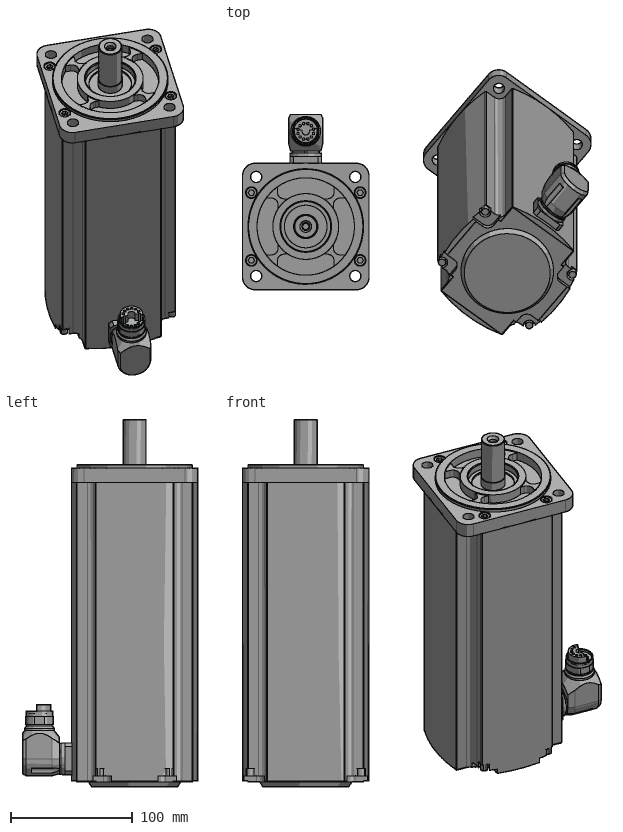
import cadquery as cq
import math

BODY_WIDTH = 104.0
BULGE_RISE = 4.2
FACE_HALF = 31.5
EDGE_BEVEL = 0.7
GROOVE_FILLET = 6.6

FLANGE_WIDTH = 104.0
FLANGE_THICKNESS = 12.0
FLANGE_CORNER = 10.5
MOUNT_CIRCLE = 115.0
MOUNT_HOLE = 9.0

SHAFT_LENGTH = 40.0
PART_HEIGHT = 301.7
SHAFT_DIAMETER = 19.0
SHOULDER_DIAMETER = 20.0
SHAFT_CHAMFER = 0.5

PILOT_DIAMETER = 95.0
PILOT_HEIGHT = 3.0
PILOT_CHAMFER = 0.6
RING_OUTER = 80.0
RING_INNER = 54.0
POCKET_DEPTH = 8.0
RIB_RECESS = 1.0
POCKET_HALF_LENGTH = 23.3
POCKET_INNER_EDGE = 22.7
POCKET_CORNER = 5.5
SEAL_BORE = 41.0
SEAL_LIP_BORE = 35.0
SEAL_DEPTH = 6.0
SEAL_LIP_DEPTH = 1.5
BORE_CHAMFER = 0.7

CENTRE_CONE = 9.5
CENTRE_COUNTERBORE = 6.4
CENTRE_DRILL = 5.1
CENTRE_CONE_DEPTH = 2.5
CENTRE_COUNTERBORE_DEPTH = 5.0
CENTRE_DRILL_DEPTH = 20.0

SCREW_X = 44.6
SCREW_Y = 27.8
SCREW_RECESS = 9.5
SCREW_RECESS_DEPTH = 5.6
SCREW_HEAD = 8.5
SCREW_HEAD_HEIGHT = 5.0
SCREW_SOCKET = 5.2
SCREW_SOCKET_DEPTH = 3.0

END_CONE_HEIGHT = 4.2
END_CONE_TOP = 76.0
END_CONE_BOTTOM = 70.5
END_LIP_HEIGHT = 0.7
END_LIP_SETBACK = 4.5

BOLT_POCKET_X = 34.0
BOLT_POCKET_Y = 19.0
BOLT_POCKET_CORNER = 6.5
BOLT_POCKET_HEIGHT = 4.2
BOLT_X = 45.6
BOLT_Y = 28.8
BOLT_DIAMETER = 6.0
BOLT_RECESS = 9.5
BOLT_RECESS_HEIGHT = 6.0

CONNECTOR_AXIS_Y = 78.1
CONNECTOR_AXIS_Z = -238.6
CONNECTOR_REACH = 92.0
ELBOW_INNER_Y = 61.8
ELBOW_WIDTH = 28.0
ELBOW_TOP = -215.4
OUTER_BEVEL = 3.0
INNER_BEVEL = 6.0
BEVEL_INSET = 1.5
ELBOW_CONE_TOP = 12.2
ELBOW_CONE_SLOPE = 1.25
ELBOW_RING_HEIGHT = 3.6
ELBOW_RING_LEDGE = 0.5
CAP_NECK = 21.0
NUT_RING_BOTTOM = -210.3
NUT_RING_TOP = -203.8
NUT_RING_DIAMETER = 22.9
NUT_RING_FLAT_WIDTH = 8.4
CAP_DIAMETER = 21.95
CAP_TOP = -199.5
CAP_BORE = 20.0
CAP_BORE_DEPTH = 2.0
INSERT_DIAMETER = 18.6
INSERT_TOP = -194.2
INSERT_NOTCH_ANGLE = 15.0
INSERT_CENTRE_HOLE = 6.0
CONTACT_HOLE = 1.99
CONTACT_COUNT = 12
CONTACT_RADIUS = 6.6
CONTACT_DEPTH = 2.0

BASE_WIDTH = 26.2
BASE_INNER_Y = 57.3
BASE_OUTER_Y = 60.3
BASE_CORNER = 3.0
COLLAR_FLATS = 22.9
COLLAR_DIAMETER = 25.4
GRIP_RADIUS = 3.0
GRIP_CENTRE_X = 10.9
GRIP_CENTRE_Z = -249.3
GRIP_OUTER_Y = 84.5

HALF_BODY = BODY_WIDTH / 2
FACE_EDGE = HALF_BODY - BULGE_RISE
GROOVE_WALL = FACE_HALF + EDGE_BEVEL
BOTTOM = SHAFT_LENGTH - PART_HEIGHT
BODY_BOTTOM = BOTTOM + END_CONE_HEIGHT + END_LIP_HEIGHT
BOLT_POCKET_ROOF = BODY_BOTTOM + BOLT_POCKET_HEIGHT
POCKET_FLOOR = PILOT_HEIGHT - POCKET_DEPTH
SEAL_FLOOR = PILOT_HEIGHT - SEAL_DEPTH
CORNER_SIGNS = [(sx, sy) for sx in (1, -1) for sy in (1, -1)]


def disc(diameter, bottom, top, x=0.0, y=0.0):
    """Upright cylinder between two heights."""
    return cq.Workplane("XY", origin=(x, y, bottom)).circle(diameter / 2).extrude(top - bottom)


def mirrored_corners(shape):
    """The shape repeated in the four quadrants about the shaft axis."""
    across = shape.union(shape.mirror("YZ"))
    return across.union(across.mirror("XZ"))


def corner_points(x, y):
    return [(sx * x, sy * y) for sx, sy in CORNER_SIGNS]


def make_housing():
    height = -FLANGE_THICKNESS - BODY_BOTTOM
    side = (
        cq.Workplane("XY", origin=(0, 0, BODY_BOTTOM))
        .moveTo(0, 0)
        .lineTo(-GROOVE_WALL, 0)
        .lineTo(-GROOVE_WALL, FACE_EDGE - EDGE_BEVEL)
        .lineTo(-FACE_HALF, FACE_EDGE)
        .threePointArc((0, HALF_BODY), (FACE_HALF, FACE_EDGE))
        .lineTo(GROOVE_WALL, FACE_EDGE - EDGE_BEVEL)
        .lineTo(GROOVE_WALL, 0)
        .close()
        .extrude(height)
    )
    housing = side
    for turn in (90, 180, 270):
        housing = housing.union(side.rotate((0, 0, 0), (0, 0, 1), turn))
    corner = GROOVE_WALL + GROOVE_FILLET
    middle = corner - GROOVE_FILLET * math.sqrt(0.5)
    fillet = (
        cq.Workplane("XY", origin=(0, 0, BODY_BOTTOM))
        .moveTo(GROOVE_WALL, GROOVE_WALL)
        .lineTo(corner, GROOVE_WALL)
        .threePointArc((middle, middle), (GROOVE_WALL, corner))
        .close()
        .extrude(height)
    )
    return housing.union(mirrored_corners(fillet))


def make_end_cap():
    lip_width = BODY_WIDTH - 2 * END_LIP_SETBACK
    lip = (
        cq.Workplane("XY", origin=(0, 0, BODY_BOTTOM - END_LIP_HEIGHT))
        .rect(lip_width, 2 * FACE_HALF)
        .extrude(END_LIP_HEIGHT)
    )
    lip = lip.union(lip.rotate((0, 0, 0), (0, 0, 1), 90))
    cone = (
        cq.Workplane("XY", origin=(0, 0, BOTTOM))
        .circle(END_CONE_BOTTOM / 2)
        .workplane(offset=END_CONE_HEIGHT)
        .circle(END_CONE_TOP / 2)
        .loft()
    )
    return lip.union(cone)


def make_bolt_pockets():
    """Open pocket at each bottom corner, with a bolt recess above it that breaks the groove walls."""
    height = BOLT_POCKET_ROOF - BODY_BOTTOM + END_LIP_HEIGHT
    pocket = (
        cq.Workplane("XY", origin=(BOLT_POCKET_X, BOLT_POCKET_Y, BOLT_POCKET_ROOF - height))
        .rect(HALF_BODY, HALF_BODY, centered=False)
        .extrude(height)
        .edges("|Z and <X and <Y")
        .fillet(BOLT_POCKET_CORNER)
    )
    recess_top = BOLT_POCKET_ROOF + BOLT_RECESS_HEIGHT
    recess = disc(BOLT_RECESS, BOLT_POCKET_ROOF, recess_top, BOLT_X, BOLT_Y)
    recess = recess.cut(disc(BOLT_DIAMETER, BOLT_POCKET_ROOF, recess_top, BOLT_X, BOLT_Y))
    return mirrored_corners(pocket.union(recess))


def make_flange():
    flange = (
        cq.Workplane("XY", origin=(0, 0, -FLANGE_THICKNESS))
        .rect(FLANGE_WIDTH, FLANGE_WIDTH)
        .extrude(FLANGE_THICKNESS)
        .edges("|Z")
        .fillet(FLANGE_CORNER)
    )
    pilot = disc(PILOT_DIAMETER, 0, PILOT_HEIGHT).faces(">Z").edges().chamfer(PILOT_CHAMFER)
    return flange.union(pilot)


def make_kidney_pockets():
    """Four curved pockets between the pilot rim and the seal ring, parted by diagonal ribs."""
    ring = disc(RING_OUTER, POCKET_FLOOR, PILOT_HEIGHT).cut(
        disc(RING_INNER, POCKET_FLOOR, PILOT_HEIGHT)
    )
    window = (
        cq.Workplane("XY", origin=(0, POCKET_INNER_EDGE + POCKET_HALF_LENGTH, POCKET_FLOOR))
        .rect(2 * POCKET_HALF_LENGTH, 2 * POCKET_HALF_LENGTH)
        .extrude(POCKET_DEPTH)
        .edges("|Z")
        .fillet(POCKET_CORNER)
    )
    pocket = ring.intersect(window)
    rib_tops = disc(RING_OUTER, PILOT_HEIGHT - RIB_RECESS, PILOT_HEIGHT).cut(
        disc(RING_INNER, PILOT_HEIGHT - RIB_RECESS, PILOT_HEIGHT)
    )
    pockets = pocket.union(rib_tops)
    for turn in (90, 180, 270):
        pockets = pockets.union(pocket.rotate((0, 0, 0), (0, 0, 1), turn))
    return pockets


def make_seal_bore():
    bore = disc(SEAL_BORE, SEAL_FLOOR, PILOT_HEIGHT)
    rim = (
        cq.Workplane("XY", origin=(0, 0, PILOT_HEIGHT - BORE_CHAMFER))
        .circle(SEAL_BORE / 2)
        .workplane(offset=BORE_CHAMFER)
        .circle(SEAL_BORE / 2 + BORE_CHAMFER)
        .loft()
    )
    lip = disc(SEAL_LIP_BORE, SEAL_FLOOR - SEAL_LIP_DEPTH, SEAL_FLOOR)
    return bore.union(rim).union(lip)


def cut_mounting_holes(part):
    offset = MOUNT_CIRCLE / 2 * math.sqrt(0.5)
    holes = (
        cq.Workplane("XY", origin=(0, 0, BOTTOM))
        .pushPoints(corner_points(offset, offset))
        .circle(MOUNT_HOLE / 2)
        .extrude(-BOTTOM)
    )
    return part.cut(holes)


def add_flange_screws(part):
    """Four socket-head screws sunk into the flange."""
    floor = -SCREW_RECESS_DEPTH
    head_top = floor + SCREW_HEAD_HEIGHT
    for x, y in corner_points(SCREW_X, SCREW_Y):
        socket = (
            cq.Workplane("XY", origin=(x, y, head_top - SCREW_SOCKET_DEPTH))
            .polygon(6, SCREW_SOCKET)
            .extrude(SCREW_SOCKET_DEPTH)
        )
        head = disc(SCREW_HEAD, floor, head_top, x, y).cut(socket)
        part = part.cut(disc(SCREW_RECESS, floor, 0, x, y)).union(head)
    return part


def make_shaft():
    root = SEAL_FLOOR - SEAL_LIP_DEPTH
    shaft = disc(SHAFT_DIAMETER, root, SHAFT_LENGTH).faces(">Z").edges().chamfer(SHAFT_CHAMFER)
    shoulder = disc(SHOULDER_DIAMETER, root, PILOT_HEIGHT)
    cone_bottom = SHAFT_LENGTH - CENTRE_CONE_DEPTH
    centre = (
        cq.Workplane("XY", origin=(0, 0, cone_bottom))
        .circle(CENTRE_COUNTERBORE / 2)
        .workplane(offset=CENTRE_CONE_DEPTH)
        .circle(CENTRE_CONE / 2)
        .loft()
    )
    centre = centre.union(
        disc(CENTRE_COUNTERBORE, SHAFT_LENGTH - CENTRE_COUNTERBORE_DEPTH, cone_bottom)
    )
    centre = centre.union(disc(CENTRE_DRILL, SHAFT_LENGTH - CENTRE_DRILL_DEPTH, cone_bottom))
    return shaft.union(shoulder).cut(centre)


def make_elbow():
    """U-shaped elbow body: bevelled block with a round underside and a conical shoulder."""
    radius = ELBOW_WIDTH / 2
    bottom = CONNECTOR_AXIS_Z - radius

    def arch(start_y, start_inset, end_y, end_inset):
        sections = cq.Workplane("XZ", origin=(0, start_y, 0))
        for inset, offset in ((start_inset, 0), (end_inset, start_y - end_y)):
            half = radius - inset
            sections = (
                sections.workplane(offset=offset)
                .moveTo(-half, ELBOW_TOP)
                .lineTo(-half, CONNECTOR_AXIS_Z)
                .threePointArc((0, CONNECTOR_AXIS_Z - half), (half, CONNECTOR_AXIS_Z))
                .lineTo(half, ELBOW_TOP)
                .close()
            )
        return sections.loft(ruled=True)

    outer_edge = CONNECTOR_REACH - OUTER_BEVEL
    inner_edge = ELBOW_INNER_Y + INNER_BEVEL
    block = arch(CONNECTOR_REACH, BEVEL_INSET, outer_edge, 0)
    block = block.union(arch(outer_edge, 0, inner_edge, 0))
    block = block.union(arch(inner_edge, 0, ELBOW_INNER_Y, BEVEL_INSET))
    skirt = 2 * radius
    cone_drop = (skirt - ELBOW_CONE_TOP) * ELBOW_CONE_SLOPE
    shoulder = (
        cq.Workplane("XZ", origin=(0, CONNECTOR_AXIS_Y, 0))
        .moveTo(0, ELBOW_TOP)
        .lineTo(ELBOW_CONE_TOP, ELBOW_TOP)
        .lineTo(skirt, ELBOW_TOP - cone_drop)
        .lineTo(skirt, bottom)
        .lineTo(0, bottom)
        .close()
        .revolve(360, (0, 0, 0), (0, 1, 0))
    )
    elbow = block.intersect(shoulder)
    grip_length = GRIP_OUTER_Y - ELBOW_INNER_Y
    grips = (
        cq.Workplane("XZ", origin=(0, GRIP_OUTER_Y, GRIP_CENTRE_Z))
        .pushPoints([(GRIP_CENTRE_X, 0), (-GRIP_CENTRE_X, 0)])
        .circle(GRIP_RADIUS)
        .extrude(grip_length)
    )
    return elbow.cut(grips)


def make_plug():
    """Round plug on top of the elbow: ring, nut with two flats, cap and notched contact insert."""
    axis = (0.0, CONNECTOR_AXIS_Y)
    ring_top = ELBOW_TOP + ELBOW_RING_HEIGHT
    ring = (
        disc(2 * ELBOW_CONE_TOP, ELBOW_TOP, ring_top, *axis)
        .faces(">Z")
        .edges()
        .chamfer(ELBOW_RING_HEIGHT / 2, ELBOW_CONE_TOP - CAP_NECK / 2 - ELBOW_RING_LEDGE)
    )
    neck = disc(CAP_NECK, ring_top, NUT_RING_BOTTOM, *axis)

    across_flats = math.sqrt(NUT_RING_DIAMETER ** 2 - NUT_RING_FLAT_WIDTH ** 2)
    flats = (
        cq.Workplane("XY", origin=(0, CONNECTOR_AXIS_Y, NUT_RING_BOTTOM))
        .rect(across_flats, NUT_RING_DIAMETER)
        .extrude(NUT_RING_TOP - NUT_RING_BOTTOM)
    )
    nut_ring = disc(NUT_RING_DIAMETER, NUT_RING_BOTTOM, NUT_RING_TOP, *axis).intersect(flats)

    bore_floor = CAP_TOP - CAP_BORE_DEPTH
    cap = disc(CAP_DIAMETER, NUT_RING_TOP, CAP_TOP, *axis)
    cap = cap.cut(disc(CAP_BORE, bore_floor, CAP_TOP, *axis))

    insert_height = INSERT_TOP - bore_floor
    notch_reach = INSERT_DIAMETER
    notch_rise = notch_reach * math.tan(math.radians(INSERT_NOTCH_ANGLE))
    notch = (
        cq.Workplane("XY", origin=(0, CONNECTOR_AXIS_Y, bore_floor))
        .moveTo(0, 0)
        .lineTo(notch_reach, notch_rise)
        .lineTo(notch_reach, notch_rise + notch_reach)
        .lineTo(-notch_reach, notch_rise + notch_reach)
        .lineTo(-notch_reach, notch_rise)
        .close()
        .extrude(insert_height)
    )
    centre_hole = disc(INSERT_CENTRE_HOLE, bore_floor, INSERT_TOP, *axis)
    insert = disc(INSERT_DIAMETER, bore_floor, INSERT_TOP, *axis).cut(notch).cut(centre_hole)
    plug = ring.union(neck).union(nut_ring).union(cap).union(insert)
    for index in range(CONTACT_COUNT):
        angle = 2 * math.pi * (index + 0.5) / CONTACT_COUNT
        x = CONTACT_RADIUS * math.cos(angle)
        y = CONNECTOR_AXIS_Y + CONTACT_RADIUS * math.sin(angle)
        plug = plug.cut(disc(CONTACT_HOLE, bore_floor - CONTACT_DEPTH, INSERT_TOP, x, y))
    return plug


def make_connector_base():
    """Square base plate, round step and hexagonal collar that carry the elbow on the housing."""
    plate = (
        cq.Workplane("XZ", origin=(0, BASE_INNER_Y, CONNECTOR_AXIS_Z))
        .rect(BASE_WIDTH, BASE_WIDTH)
        .extrude(BASE_INNER_Y - FACE_EDGE)
        .edges("|Y")
        .chamfer(BASE_CORNER)
    )
    step = (
        cq.Workplane("XZ", origin=(0, BASE_OUTER_Y, CONNECTOR_AXIS_Z))
        .circle(BASE_WIDTH / 2)
        .extrude(BASE_OUTER_Y - BASE_INNER_Y)
    )
    base = plate.union(step)
    length = ELBOW_INNER_Y - BASE_OUTER_Y
    collar_plane = cq.Workplane("XZ", origin=(0, ELBOW_INNER_Y, CONNECTOR_AXIS_Z))
    hexagon = collar_plane.polygon(6, COLLAR_FLATS, circumscribed=True).extrude(length)
    collar = collar_plane.circle(COLLAR_DIAMETER / 2).extrude(length).intersect(hexagon)
    return base.union(collar)


motor = make_flange().union(make_housing()).union(make_end_cap())
motor = motor.cut(make_bolt_pockets())
motor = motor.cut(make_kidney_pockets()).cut(make_seal_bore())
motor = cut_mounting_holes(motor)
motor = add_flange_screws(motor)
motor = motor.union(make_shaft())
motor = motor.union(make_connector_base()).union(make_elbow()).union(make_plug())
result = motor